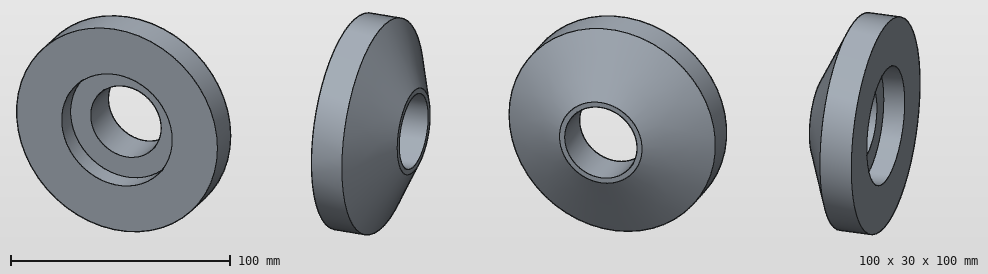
import cadquery as cq

outer_diameter = 100.0
rim_width = 15.0
total_width = 30.0
small_end_diameter = 40.0
bore_diameter = 35.0
recess_diameter = 55.0
recess_depth = 10.0

profile = [
    (recess_diameter / 2, 0),
    (outer_diameter / 2, 0),
    (outer_diameter / 2, rim_width),
    (small_end_diameter / 2, total_width),
    (bore_diameter / 2, total_width),
    (bore_diameter / 2, recess_depth),
    (recess_diameter / 2, recess_depth),
]

result = cq.Workplane("XY").polyline(profile).close().revolve(360, (0, 0, 0), (0, 1, 0))